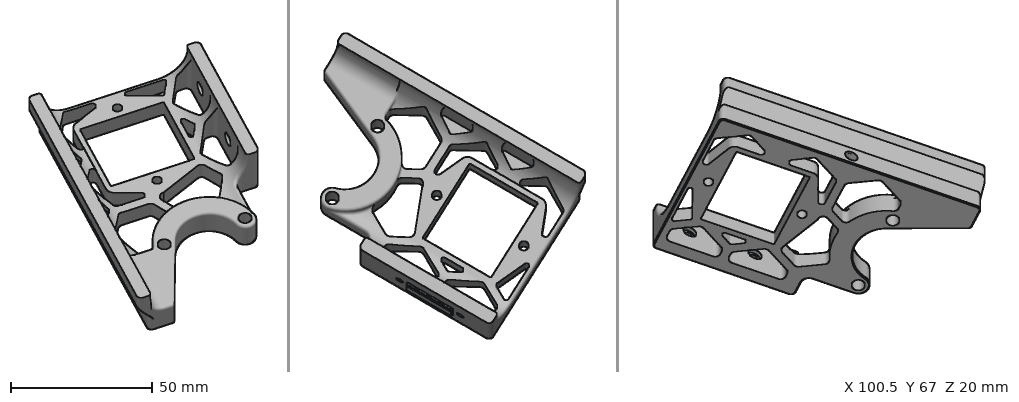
import cadquery as cq
import math

length = 100.5
height = 20.0
rear_face = 65.8
rear_wall_length = 54.7
wall = 4.97
floor_top = 7.0
cove_radius = 10.9
corner_radius = 1.8
edge_round = 1.1
foot_chamfer = 0.4
foot_face = 3.9
overhang_low = 8.9
overhang_high = 14.3

arm_top = 10.4
ring_x = 77.8
ring_y = 36.8
ring_inner = 12.0
ring_outer = 20.1
tip_x = 73.7
arm_hole = 4.67
arm_side = 73.5
arm_cove = 5.5
arm_round = 1.0
joint_radius = 1.5
base_fillet = 1.0
web_slope = math.radians(23.5)
web_corner = 1.2
step_radius = 3.1

frame_x = 25.1
frame_y = 31.5
window_x = 28.2
window_y = 32.2
window_radius = 0.4
frame_half_height = 18.2
frame_half_top = 16.5
frame_half_ears = 24.0
frame_radius = 3.0
pin_offset = 18.0
pin_hole = 3.4

cell_pitch = 25.1
cell_width = 21.8
first_cell_x = cell_pitch / 2
first_row_y = 19.3
cell_radius = 1.3
open_cell_radius = 2.0
narrow_cell_radius = 0.9
end_margin = 1.6
wide_end_margin = 3.0

screw_hole = 2.8
screw_bore = 5.0
screw_bore_depth = 1.5
front_hole = 4.8
front_hole_z = 4.2
front_hole_depth = 4.0
pad_x = 24.9
pad_z = 9.8
pad_length = 19.1
pad_height = 6.2
pad_depth = 1.2
pad_chamfer = 0.5

front_inner = wall
rear_inner = rear_face - wall
row_pitch = cell_pitch * math.sqrt(3) / 2
tip_radius = (ring_outer - ring_inner) / 2
tip_rise = math.sqrt((ring_inner + tip_radius) ** 2 - (ring_x - tip_x) ** 2)
tip_y = ring_y + tip_rise
arm_rear = tip_y + tip_radius
arm_cove_end = front_inner + arm_cove
diagonal = math.sqrt(0.5)


def block(x0, x1, y0, y1, z0=0.0, z1=height):
    """Box between the given limits."""
    return cq.Workplane("XY").box(x1 - x0, y1 - y0, z1 - z0, centered=False).translate((x0, y0, z0))


def upright(x, y, diameter):
    """Full-height vertical cylinder."""
    return cq.Workplane("XY", origin=(x, y, 0)).circle(diameter / 2).extrude(height)


def bore_to_front(x, y, z, diameter, depth):
    """Cylinder along Y, starting at y and running forward by depth."""
    return cq.Workplane("XZ", origin=(x, y, z)).circle(diameter / 2).extrude(depth)


def centred_in(x0, x1, y0, y1, z0=0.0, z1=height):
    """Selector for edges centred between the given limits."""
    slack = 0.1
    low = (x0 - slack, y0 - slack, z0 - slack)
    high = (x1 + slack, y1 + slack, z1 + slack)
    return cq.selectors.BoxSelector(low, high)


def plan_outline():
    """Plan shape of the whole part as a full-height prism."""
    tangent_x = ring_x - ring_inner * math.sin(web_slope)
    tangent_y = ring_y - ring_inner * math.cos(web_slope)
    web_end_y = tangent_y - (length - tangent_x) * math.tan(web_slope)
    toward_tip = math.atan2(tip_rise, tip_x - ring_x)
    tip_cos = math.cos(toward_tip)
    tip_sin = math.sin(toward_tip)
    tip_start = (ring_x + ring_inner * tip_cos, ring_y + ring_inner * tip_sin)
    tip_side = (tip_x + tip_radius * tip_sin, tip_y - tip_radius * tip_cos)
    step_x = rear_wall_length + step_radius
    step_y = arm_rear + step_radius
    step_middle = (step_x - step_radius * diagonal, step_y - step_radius * diagonal)
    prism = (
        cq.Workplane("XY")
        .polyline([(0, 0), (length, 0), (length, web_end_y), (tangent_x, tangent_y)])
        .threePointArc((ring_x - ring_inner, ring_y), tip_start)
        .threePointArc(tip_side, (tip_x, arm_rear))
        .lineTo(step_x, arm_rear)
        .threePointArc(step_middle, (rear_wall_length, step_y))
        .lineTo(rear_wall_length, rear_face)
        .lineTo(0, rear_face)
        .close()
        .extrude(height)
    )
    return prism.edges("|Z").edges(centred_in(length, length, web_end_y, web_end_y)).fillet(web_corner)


def channel(outline):
    """U-shaped section with its front overhang and rounded inner ends."""
    bend = cove_radius * diagonal
    cove_z = floor_top + cove_radius
    front_cove_y = front_inner + cove_radius
    rear_cove_y = rear_inner - cove_radius
    section = (
        cq.Workplane("YZ")
        .moveTo(foot_face, 0)
        .lineTo(foot_face, overhang_low)
        .lineTo(0, overhang_high)
        .lineTo(0, height)
        .lineTo(front_inner, height)
        .lineTo(front_inner, cove_z)
        .threePointArc((front_cove_y - bend, cove_z - bend), (front_cove_y, floor_top))
        .lineTo(rear_cove_y, floor_top)
        .threePointArc((rear_cove_y + bend, cove_z - bend), (rear_inner, cove_z))
        .lineTo(rear_inner, height)
        .lineTo(rear_face, height)
        .lineTo(rear_face, 0)
        .close()
        .extrude(length)
    )
    left_end = centred_in(0, 0, front_inner, rear_inner, floor_top, height - edge_round)
    step_end = centred_in(rear_wall_length, rear_wall_length, rear_inner, rear_inner, cove_z, height)
    body = section.intersect(outline)
    body = body.edges(left_end).fillet(edge_round)
    body = body.edges(step_end).fillet(edge_round)
    return body.cut(block(arm_side + arm_round, length, front_inner, arm_cove_end))


def arm_plan():
    """Ring and web of the arm, before trimming to the plan outline."""
    web = block(arm_side, length, foot_face, ring_y)
    joint = centred_in(arm_side, arm_side, ring_y - ring_outer, ring_y - 0.8 * ring_outer)
    plan = upright(ring_x, ring_y, 2 * ring_outer).union(web)
    return plan.edges("|Z").edges(joint).fillet(joint_radius)


def arm(outline):
    """Arm with its rounded rim and the cove that meets the front wall."""
    bend = arm_cove * diagonal
    cove_z = arm_top + arm_cove
    section = (
        cq.Workplane("YZ")
        .moveTo(foot_face, 0)
        .lineTo(foot_face, cove_z)
        .lineTo(front_inner, cove_z)
        .threePointArc((arm_cove_end - bend, cove_z - bend), (arm_cove_end, arm_top))
        .lineTo(rear_face, arm_top)
        .lineTo(rear_face, 0)
        .close()
        .extrude(length)
    )
    solid = section.intersect(arm_plan()).intersect(outline)
    rim = centred_in(0, length, arm_cove_end + arm_round / 2, rear_face)
    return solid.faces("|Z").faces(">Z[-2]").edges(rim).fillet(arm_round)


def round_corners(body):
    """Round the outer upright corners of the foot, the rail and the rear wall."""
    for x, y in (
        (0, 0),
        (0, foot_face),
        (0, rear_face),
        (length, 0),
        (length, foot_face),
        (rear_wall_length, rear_face),
    ):
        body = body.edges("|Z").edges(centred_in(x, x, y, y)).fillet(corner_radius)
    return body


def fillet_arm_base(body):
    """Blend the outside of the ring into the floor and the coves."""
    left = ring_x - ring_outer
    below_rim = arm_top - arm_round - 0.2
    base = centred_in(left, arm_side, front_inner + 2.0, arm_rear - 1.0, floor_top, below_rim)
    return body.edges(base).fillet(base_fillet)


def frame():
    """Six-sided area around the window that the cells leave standing."""
    points = [
        (-frame_half_ears, 0),
        (-frame_half_top, frame_half_height),
        (frame_half_top, frame_half_height),
        (frame_half_ears, 0),
        (frame_half_top, -frame_half_height),
        (-frame_half_top, -frame_half_height),
    ]
    solid = cq.Workplane("XY", origin=(frame_x, frame_y, 0)).polyline(points).close().extrude(height)
    return solid.edges("|Z").edges("<Y or >Y").fillet(frame_radius)


def cell(column, row, keep, radius, left=end_margin):
    """One pointed-top hexagon, kept clear of the walls, the frame and the arm.

    Columns count half pitches. Shrinking and growing the outline rounds its corners.
    """
    x = first_cell_x + column * cell_pitch / 2
    y = first_row_y + row * row_pitch
    hexagon = (
        cq.Workplane("XY", origin=(x, y, 0))
        .polygon(6, cell_width, circumscribed=True)
        .extrude(height)
    )
    trimmed = hexagon.intersect(block(left, length, front_inner, rear_inner)).cut(keep)
    sharp = trimmed.solids(">Y").faces("<Z").wires().val()
    rounded = sharp.offset2D(-radius)[0].offset2D(radius)[0]
    return cq.Workplane(rounded).toPending().extrude(height)


def cut_cells(body):
    keep = frame().union(arm_plan())
    for column, row, radius, left in (
        (0, 2, open_cell_radius, wide_end_margin),
        (2, 2, open_cell_radius, end_margin),
        (-1, 1, narrow_cell_radius, end_margin),
        (1, 1, narrow_cell_radius, end_margin),
        (3, 1, open_cell_radius, end_margin),
        (0, 0, cell_radius, end_margin),
        (2, 0, cell_radius, end_margin),
        (4, 0, open_cell_radius, end_margin),
    ):
        body = body.cut(cell(column, row, keep, radius, left))

    above_floor = block(0, length, 0, rear_face, floor_top)
    for column in (1, 3):
        body = body.cut(cell(column, -1, keep, narrow_cell_radius).intersect(above_floor))
    return body.cut(frame().intersect(above_floor))


def cut_window(body):
    opening = cq.Workplane("XY", origin=(frame_x, frame_y, 0)).rect(window_x, window_y).extrude(height)
    return body.cut(opening.edges("|Z").fillet(window_radius))


def add_pad(body):
    pad = cq.Workplane("XY").box(pad_length, 2 * pad_depth, pad_height).translate((pad_x, rear_face, pad_z))
    return body.union(pad.faces(">Y").edges().chamfer(pad_chamfer))


def drill(body):
    outermost = rear_face + pad_depth
    for x in (first_cell_x, first_cell_x + cell_pitch):
        body = body.cut(bore_to_front(x, outermost, pad_z, screw_hole, outermost - rear_inner))
        body = body.cut(bore_to_front(x, rear_inner + screw_bore_depth, pad_z, screw_bore, screw_bore_depth))
    front_hole_end = foot_face + front_hole_depth
    body = body.cut(bore_to_front(length / 2, front_hole_end, front_hole_z, front_hole, front_hole_depth))
    for side in (-1, 1):
        body = body.cut(upright(frame_x + side * pin_offset, frame_y, pin_hole))
        body = body.cut(upright(tip_x, ring_y + side * tip_rise, arm_hole))
    return body


outline = plan_outline()
body = channel(outline).union(arm(outline))
body = round_corners(body)
body = fillet_arm_base(body)
body = body.faces("<Z").edges().chamfer(foot_chamfer)
body = cut_cells(body)
body = cut_window(body)
body = add_pad(body)
result = drill(body)